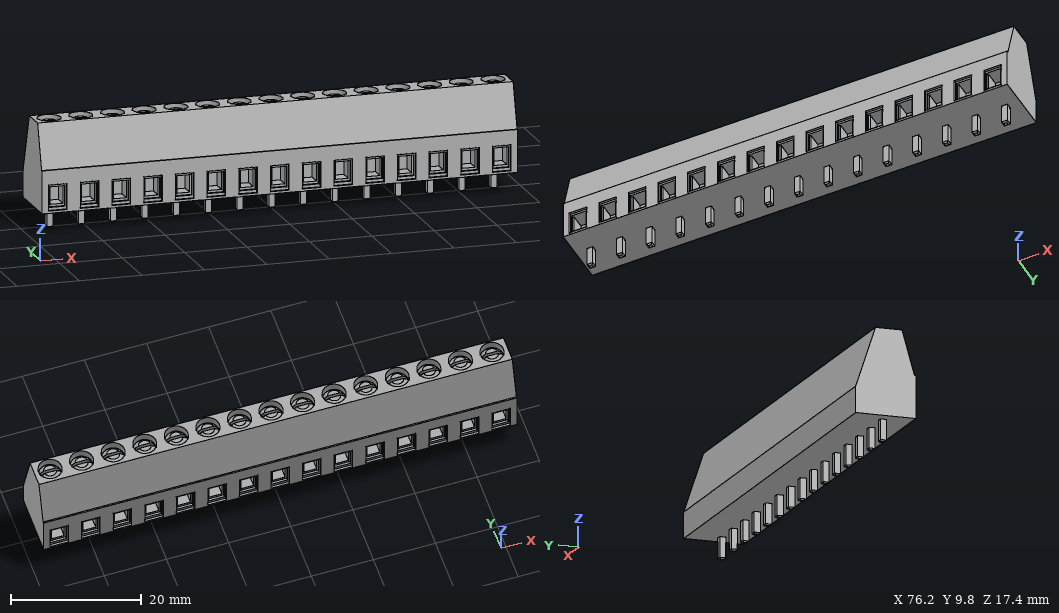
import cadquery as cq
import math

LENGTH = 76.2
DEPTH = 9.8
HEIGHT = 17.4
POLE_COUNT = 15
PITCH = LENGTH / POLE_COUNT

PIN_LENGTH = 3.5
HOUSING_HEIGHT = HEIGHT - PIN_LENGTH
FRONT_Y = -DEPTH / 2
BACK_Y = DEPTH / 2
FRONT_WALL_HEIGHT = 6.85
FRONT_LEDGE = 0.2
BACK_WALL_HEIGHT = 4.2
TOP_FRONT_Y = -2.7
TOP_BACK_Y = 1.7

TERMINAL_Y = -0.4

SCREW_RADIUS = 3.65 / 2
SCREW_FLAT_RADIUS = 1.0
DOME_RADIUS = 2.0
CROWN_HEIGHT = math.sqrt(DOME_RADIUS**2 - SCREW_FLAT_RADIUS**2) - math.sqrt(DOME_RADIUS**2 - SCREW_RADIUS**2)
SCREW_RECESS = 0.45
FLAT_TOP_Z = HOUSING_HEIGHT - SCREW_RECESS
SLOT_WIDTH = 0.45
SLOT_DEPTH = 0.9

WIRE_ENTRY_STEPS = [
    (3.0, 0.4, 4.5, 0.4),
    (2.6, 0.85, 4.1, 0.8),
    (2.05, 1.2, 4.1, 3.05),
]

PIN_WIDTH = 1.0
PIN_CHAMFER = 0.2


def pole_positions():
    first_x = -(LENGTH - PITCH) / 2
    return [first_x + pole * PITCH for pole in range(POLE_COUNT)]


def make_housing():
    profile = [
        (FRONT_Y, 0),
        (BACK_Y, 0),
        (BACK_Y, BACK_WALL_HEIGHT),
        (TOP_BACK_Y, HOUSING_HEIGHT),
        (TOP_FRONT_Y, HOUSING_HEIGHT),
        (FRONT_Y + FRONT_LEDGE, FRONT_WALL_HEIGHT),
        (FRONT_Y, FRONT_WALL_HEIGHT),
    ]
    return cq.Workplane("YZ").polyline(profile).close().extrude(LENGTH / 2, both=True)


def make_screw_recess(x):
    """Space above a screw head: a round hole down to the dome and its flat top, plus the slot."""
    space_above_head = (
        cq.Workplane("XZ")
        .moveTo(0, FLAT_TOP_Z)
        .lineTo(SCREW_FLAT_RADIUS, FLAT_TOP_Z)
        .radiusArc((SCREW_RADIUS, FLAT_TOP_Z - CROWN_HEIGHT), DOME_RADIUS)
        .lineTo(SCREW_RADIUS, HOUSING_HEIGHT)
        .lineTo(0, HOUSING_HEIGHT)
        .close()
        .revolve()
    )
    slot_base = cq.Workplane("XY", origin=(0, 0, FLAT_TOP_Z - SLOT_DEPTH))
    slot_bar = slot_base.rect(2 * SCREW_RADIUS + SLOT_WIDTH, SLOT_WIDTH).extrude(SLOT_DEPTH)
    slot = slot_base.circle(SCREW_RADIUS).extrude(SLOT_DEPTH).intersect(slot_bar)
    return space_above_head.union(slot).translate((x, TERMINAL_Y, 0))


def make_wire_entry(x):
    entry = cq.Workplane("XY")
    for width, bottom, top, depth in WIRE_ENTRY_STEPS:
        opening = cq.Workplane("XY").box(width, depth, top - bottom, centered=(True, False, False))
        entry = entry.union(opening.translate((x, FRONT_Y, bottom)))
    return entry


def make_pin(x):
    pin = cq.Workplane("XY").box(PIN_WIDTH, PIN_WIDTH, PIN_LENGTH, centered=(True, True, False))
    pin = pin.faces("<Z").edges().chamfer(PIN_CHAMFER)
    return pin.translate((x, TERMINAL_Y, -PIN_LENGTH))


result = make_housing()
for pole_x in pole_positions():
    result = result.cut(make_screw_recess(pole_x))
    result = result.cut(make_wire_entry(pole_x))
    result = result.union(make_pin(pole_x))